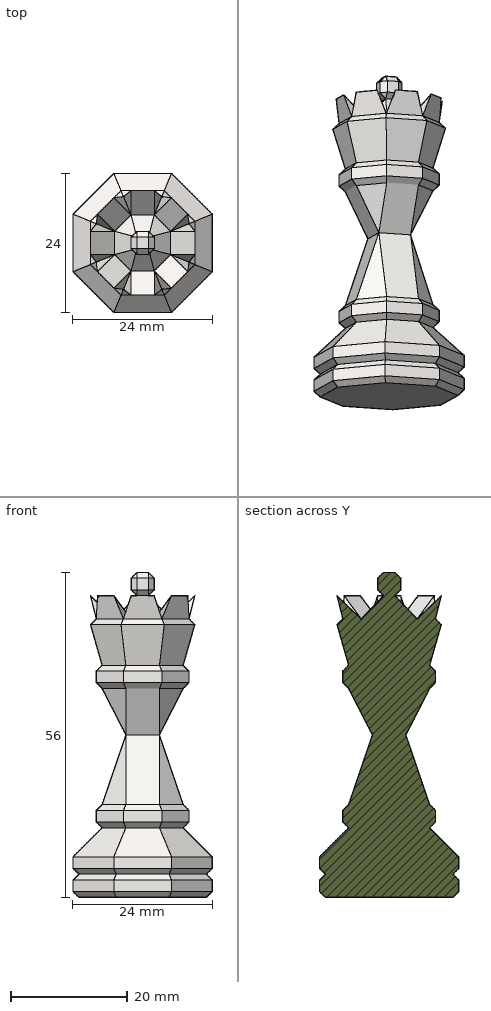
import cadquery as cq
import math

SIDES = 8
SIDE_ANGLE = 360 / SIDES
OCTAGON_RATIO = math.tan(math.radians(SIDE_ANGLE / 2))

COINCIDENT = 1e-6

BEVEL = 1.0
BEAD_HEIGHT = 2.0
BASE_APOTHEM = 12.0
BODY_APOTHEM = 7.0
CROWN_APOTHEM = 9.0
RIM_APOTHEM = CROWN_APOTHEM - BEVEL

SHOULDER_HEIGHT = 5.0
STEM_HEIGHT = 12.0
NECK_HEIGHT = 8.0
CROWN_HEIGHT = 7.0
PRONG_HEIGHT = 4.0
PRONG_HALF_WIDTH = 2.0
WELL_APOTHEM = PRONG_HALF_WIDTH / OCTAGON_RATIO
FINIAL_HALF_WIDTH = 2.0

BEAD_TOTAL = BEAD_HEIGHT + 2 * BEVEL
BASE_TOP = 2 * BEAD_TOTAL - BEVEL
LOWER_COLLAR_BOTTOM = BASE_TOP + SHOULDER_HEIGHT
LOWER_COLLAR_TOP = LOWER_COLLAR_BOTTOM + BEAD_TOTAL
WAIST_Z = LOWER_COLLAR_TOP + STEM_HEIGHT
UPPER_COLLAR_BOTTOM = WAIST_Z + NECK_HEIGHT
UPPER_COLLAR_TOP = UPPER_COLLAR_BOTTOM + BEAD_TOTAL
CROWN_WIDEST_Z = UPPER_COLLAR_TOP + CROWN_HEIGHT
CROWN_RIM_Z = CROWN_WIDEST_Z + BEVEL
PRONG_TIP_Z = CROWN_RIM_Z + PRONG_HEIGHT
FINIAL_TOP = PRONG_TIP_Z + 2 * FINIAL_HALF_WIDTH


def side_edge(index, apothem, half_width, z):
    """End points of a level edge on the given side, centred on that side's direction."""
    angle = math.radians(index * SIDE_ANGLE)
    outward = cq.Vector(math.cos(angle), math.sin(angle), 0)
    along = cq.Vector(-math.sin(angle), math.cos(angle), 0)
    centre = outward * apothem + cq.Vector(0, 0, z)
    return [centre - along * half_width, centre + along * half_width]


def ring(apothem, half_width, z):
    """Eight corners with four-fold symmetry; a half width equal to the apothem gives a square."""
    corners = []
    for index in range(0, SIDES, 2):
        corners += side_edge(index, apothem, half_width, z)
    return corners


def octagon(apothem, z):
    return ring(apothem, apothem * OCTAGON_RATIO, z)


def facet(corners):
    """Flat face through the corners, with coincident neighbours merged."""
    distinct = []
    for index, corner in enumerate(corners):
        if (corner - corners[index - 1]).Length > COINCIDENT:
            distinct.append(corner)
    return cq.Face.makeFromWires(cq.Wire.makePolygon(distinct, close=True))


def band(lower, upper):
    """Facets joining two rings, one for each side."""
    return [
        facet([lower[i - 1], lower[i], upper[i], upper[i - 1]])
        for i in range(SIDES)
    ]


def stack(rings):
    """Bands joining each ring to the next."""
    faces = []
    for lower, upper in zip(rings, rings[1:]):
        faces += band(lower, upper)
    return faces


def bead(inner_apothem, bottom):
    """Four octagons of a bead that bulges out by one bevel from its inner apothem."""
    outer_apothem = inner_apothem + BEVEL
    return [
        octagon(inner_apothem, bottom),
        octagon(outer_apothem, bottom + BEVEL),
        octagon(outer_apothem, bottom + BEVEL + BEAD_HEIGHT),
        octagon(inner_apothem, bottom + BEAD_TOTAL),
    ]


def prong(index):
    """Outer, inner and two flank faces of a wedge-shaped prong with a sharp level top edge."""
    rim_half_width = RIM_APOTHEM * OCTAGON_RATIO
    rim_start, rim_end = side_edge(index, RIM_APOTHEM, rim_half_width, CROWN_RIM_Z)
    well_start, well_end = side_edge(index, WELL_APOTHEM, PRONG_HALF_WIDTH, CROWN_RIM_Z)
    tip_start, tip_end = side_edge(index, CROWN_APOTHEM, PRONG_HALF_WIDTH, PRONG_TIP_Z)
    return [
        facet([rim_start, rim_end, tip_end, tip_start]),
        facet([well_start, well_end, tip_end, tip_start]),
        facet([rim_start, well_start, tip_start]),
        facet([rim_end, well_end, tip_end]),
    ]


def body():
    """Underside and outer facets from the base up to the crown rim."""
    base_groove_apothem = BASE_APOTHEM - BEVEL
    waist_half_width = BODY_APOTHEM * OCTAGON_RATIO
    upper_disc = bead(base_groove_apothem, BEAD_TOTAL)

    rings = bead(base_groove_apothem, 0)
    rings += upper_disc[1:-1]
    rings += bead(BODY_APOTHEM, LOWER_COLLAR_BOTTOM)
    rings.append(ring(waist_half_width, waist_half_width, WAIST_Z))
    rings += bead(BODY_APOTHEM, UPPER_COLLAR_BOTTOM)
    rings.append(octagon(CROWN_APOTHEM, CROWN_WIDEST_Z))
    rings.append(octagon(RIM_APOTHEM, CROWN_RIM_Z))
    return [facet(rings[0])] + stack(rings)


def prongs():
    faces = []
    for index in range(SIDES):
        faces += prong(index)
    return faces


def cap_and_finial():
    """Roof rising inside the prongs to a square, topped by the bevelled cube."""
    flat_half_width = FINIAL_HALF_WIDTH - BEVEL
    rings = [
        octagon(WELL_APOTHEM, CROWN_RIM_Z),
        ring(flat_half_width, flat_half_width, PRONG_TIP_Z),
        ring(FINIAL_HALF_WIDTH, flat_half_width, PRONG_TIP_Z + BEVEL),
        ring(FINIAL_HALF_WIDTH, flat_half_width, FINIAL_TOP - BEVEL),
        ring(flat_half_width, flat_half_width, FINIAL_TOP),
    ]
    return stack(rings) + [facet(rings[-1])]


shell = cq.Shell.makeShell(body() + prongs() + cap_and_finial())
result = cq.Workplane("XY").newObject([cq.Solid.makeSolid(shell)])